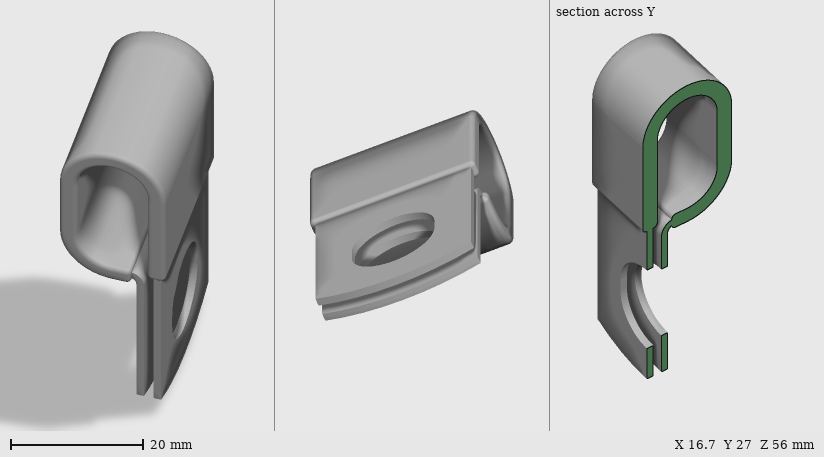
import cadquery as cq
import math


strip_width = 25.4
strip_thickness = 1.211
cushion_thickness = 0.794

loop_outer_radius = 16.71 / 2
loop_straight = 11.1125
right_cushion_end_z = -17.5
left_cushion_end_x = 2.95

total_height = 55.96
leg_gap = 1.5
leg_bend_inner_radius = strip_thickness
leg_tip_sagitta = 3.0

hole_diameter = 13.5
hole_from_top = 41.72
slot_straight = 2.38

cushion_width = strip_width + 2 * cushion_thickness
wall = strip_thickness + 2 * cushion_thickness
loop_inner_radius = loop_outer_radius - wall
strip_outer_radius = loop_outer_radius - cushion_thickness
strip_inner_radius = strip_outer_radius - strip_thickness
loop_middle_radius = loop_outer_radius - wall / 2
bottom_z = loop_outer_radius - total_height
tip_corner_z = bottom_z + leg_tip_sagitta
hole_z = loop_outer_radius - hole_from_top
left_leg_outer_x = strip_inner_radius - leg_gap
left_leg_inner_x = left_leg_outer_x - strip_thickness
leg_bend_outer_radius = leg_bend_inner_radius + strip_thickness
leg_bend_x = left_leg_inner_x - leg_bend_inner_radius
leg_bend_z = -loop_straight - strip_outer_radius - leg_bend_inner_radius


def point_on_arc(center_x, center_z, radius, angle):
    """XZ point at an angle in degrees, measured from +X toward +Z."""
    turn = math.radians(angle)
    return (center_x + radius * math.cos(turn), center_z + radius * math.sin(turn))


def add_arc(profile, center_x, center_z, radius, start_angle, end_angle):
    """Continue the outline to the arc's start, then along the arc."""
    start, middle, end = [
        point_on_arc(center_x, center_z, radius, angle)
        for angle in (start_angle, (start_angle + end_angle) / 2, end_angle)
    ]
    return profile.lineTo(*start).threePointArc(middle, end)


def add_loop_forward(profile, radius):
    """Follow the loop over the top, down the left side and into the lower bend."""
    profile = add_arc(profile, 0, 0, radius, 0, 180)
    return add_arc(profile, 0, -loop_straight, radius, 180, 270)


def add_loop_back(profile, radius):
    """Follow the loop from the lower bend back up and over the top."""
    profile = add_arc(profile, 0, -loop_straight, radius, 270, 180)
    return add_arc(profile, 0, 0, radius, 180, 0)


def face_nearest(body, x, z):
    """Face whose centre is nearest to a point on the Y = 0 plane."""
    return body.faces(cq.selectors.NearestToPointSelector((x, 0, z)))


def make_cushion():
    """Cushion that follows the loop, with its side rims and both ends rounded."""
    profile = cq.Workplane("XZ").moveTo(loop_outer_radius, right_cushion_end_z)
    profile = add_loop_forward(profile, loop_outer_radius)
    profile = profile.lineTo(left_cushion_end_x, -loop_straight - loop_outer_radius)
    profile = profile.lineTo(left_cushion_end_x, -loop_straight - loop_inner_radius)
    profile = add_loop_back(profile, loop_inner_radius)
    profile = profile.lineTo(loop_inner_radius, right_cushion_end_z).close()
    cushion = profile.extrude(cushion_width / 2, both=True)

    right_end = face_nearest(cushion, loop_middle_radius, right_cushion_end_z)
    left_end = face_nearest(cushion, left_cushion_end_x, -loop_straight - loop_middle_radius)
    rims = cushion.faces("<Y or >Y").edges()
    rims = rims.add(right_end.edges("|Y")).add(left_end.edges("|Y"))
    return rims.fillet(cushion_thickness)


def make_bent_strip():
    """Metal strip: right leg, loop, and the left leg turned down beside it."""
    profile = cq.Workplane("XZ").moveTo(strip_outer_radius, bottom_z)
    profile = add_loop_forward(profile, strip_outer_radius)
    profile = add_arc(profile, leg_bend_x, leg_bend_z, leg_bend_inner_radius, 90, 0)
    profile = profile.lineTo(left_leg_inner_x, bottom_z)
    profile = profile.lineTo(left_leg_outer_x, bottom_z)
    profile = add_arc(profile, leg_bend_x, leg_bend_z, leg_bend_outer_radius, 0, 90)
    profile = add_loop_back(profile, strip_inner_radius)
    profile = profile.lineTo(strip_inner_radius, bottom_z).close()
    return profile.extrude(strip_width / 2, both=True)


def make_tip_trim():
    """Block as wide as the strip, whose arched lower side shapes both leg tips."""
    half_width = strip_width / 2
    return (
        cq.Workplane("YZ")
        .moveTo(-half_width, loop_outer_radius)
        .lineTo(-half_width, tip_corner_z)
        .threePointArc((0, bottom_z), (half_width, tip_corner_z))
        .lineTo(half_width, loop_outer_radius)
        .close()
        .extrude(loop_outer_radius, both=True)
    )


def make_left_hole():
    """Round bore along X through the left leg."""
    sketch = cq.Workplane("YZ", origin=(left_leg_inner_x, 0, hole_z))
    return sketch.circle(hole_diameter / 2).extrude(strip_thickness)


def make_right_slot():
    """Upright slot along X through the right leg, centred on the round hole."""
    sketch = cq.Workplane("YZ", origin=(strip_inner_radius, 0, hole_z))
    slot_length = hole_diameter + slot_straight
    return sketch.slot2D(slot_length, hole_diameter, 90).extrude(strip_thickness)


strip = make_bent_strip().intersect(make_tip_trim())
strip = strip.cut(make_left_hole()).cut(make_right_slot())
result = make_cushion().union(strip)